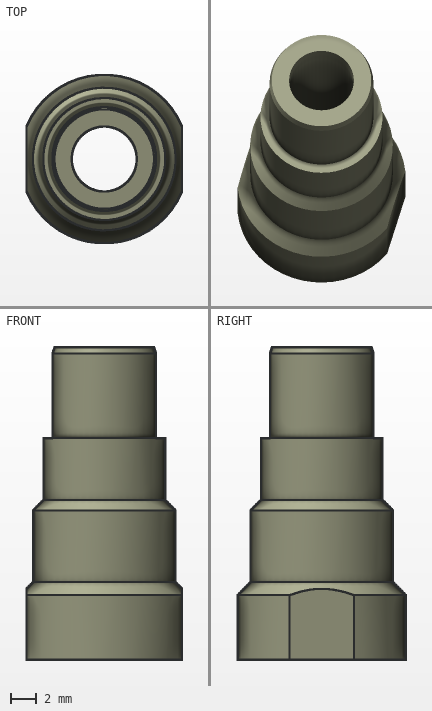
import cadquery as cq

total_height = 24.1
base_diameter = 13.0
width_across_flats = 12.0
body_diameter = 11.0
collar_diameter = 9.4
spigot_diameter = 8.0
bore_diameter = 5.0

base_top = 5.0
collar_bottom = 12.32
spigot_bottom = 17.09

tip_chamfer_height = 0.5
tip_chamfer_width = 0.17

base_radius = base_diameter / 2
body_radius = body_diameter / 2
collar_radius = collar_diameter / 2
spigot_radius = spigot_diameter / 2
body_bottom = base_top + base_radius - body_radius
body_top = collar_bottom - (body_radius - collar_radius)


def stepped_body():
    """Solid of revolution about Z with the steps, cones and tip chamfer."""
    profile = [
        (0, 0),
        (base_radius, 0),
        (base_radius, base_top),
        (body_radius, body_bottom),
        (body_radius, body_top),
        (collar_radius, collar_bottom),
        (collar_radius, spigot_bottom),
        (spigot_radius, spigot_bottom),
        (spigot_radius, total_height - tip_chamfer_height),
        (spigot_radius - tip_chamfer_width, total_height),
        (0, total_height),
    ]
    return cq.Workplane("XZ").polyline(profile).close().revolve(360, (0, 0, 0), (0, 1, 0))


def flats_envelope():
    """Block whose X faces cut the two wrench flats on the base."""
    return cq.Workplane("XY").box(
        width_across_flats, base_diameter, total_height, centered=(True, True, False)
    )


def through_bore():
    return cq.Workplane("XY").circle(bore_diameter / 2).extrude(total_height)


result = stepped_body().intersect(flats_envelope()).cut(through_bore())